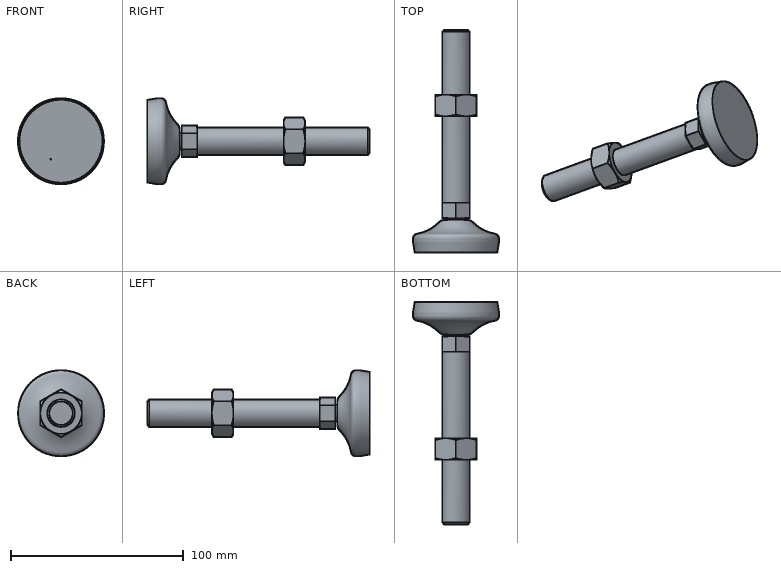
import cadquery as cq
import math


TOTAL_LENGTH = 129.0
PAD_TAPER_TOP = 6.0
PAD_RIM_TOP = 8.0
PAD_HEIGHT = 19.0
HEX_START = 20.0
HEX_LENGTH = 9.0
NUT_START = 79.0
NUT_HEIGHT = 12.5

PAD_RADIUS = 25.0
SOLE_RADIUS = 24.0
RIM_FILLET = 3.0
PAD_TOP_RADIUS = 6.4
SHOULDER_FILLET = 5.0
SHOULDER_ANGLE = 45.0

STUD_DIAMETER = 16.0
STUD_CHAMFER = 1.2
NECK_DIAMETER = 10.0
HEX_ACROSS_FLATS = 16.0
NUT_ACROSS_FLATS = 24.0
NUT_FACE_DIAMETER = 23.98
NUT_CHAMFER_ANGLE = 30.0


def cylinder_along_y(diameter, start, length):
    """Cylinder on the Y axis that begins at Y = start."""
    return cq.Workplane("XZ", origin=(0, start, 0)).circle(diameter / 2).extrude(-length)


def hexagon_corner_radius(across_flats):
    """Distance from the centre of a regular hexagon to its corners."""
    half_side_angle = math.pi / 6
    return across_flats / 2 / math.cos(half_side_angle)


def hexagon_along_y(across_flats, start, length):
    """Hexagonal bar on the Y axis with two flats facing -X and +X."""
    corner_diameter = 2 * hexagon_corner_radius(across_flats)
    return (
        cq.Workplane("XZ", origin=(0, start, 0))
        .transformed(rotate=(0, 0, 90))
        .polygon(6, corner_diameter)
        .extrude(-length)
    )


def revolve_about_y(profile):
    """Full turn of a closed XY profile about the Y axis."""
    return profile.close().revolve(360, (0, 0, 0), (0, 1, 0))


def make_pad():
    """Pad whose hollow flank is one arc, tangent to the shoulder fillet and to the rim fillet."""
    shoulder_angle = math.radians(SHOULDER_ANGLE)
    normal_x = math.sin(shoulder_angle)
    normal_y = math.cos(shoulder_angle)
    shoulder_x = PAD_TOP_RADIUS + SHOULDER_FILLET * normal_x
    shoulder_y = PAD_HEIGHT - SHOULDER_FILLET * (1 - normal_y)

    fillet_x = PAD_RADIUS - RIM_FILLET
    fillet_y = PAD_RIM_TOP
    offset_x = shoulder_x - fillet_x
    offset_y = shoulder_y - fillet_y
    offset_along_normal = offset_x * normal_x + offset_y * normal_y
    flank_radius = (offset_x**2 + offset_y**2 - RIM_FILLET**2) / (2 * (RIM_FILLET - offset_along_normal))
    flank_x = shoulder_x + flank_radius * normal_x
    flank_y = shoulder_y + flank_radius * normal_y
    contact_angle = math.atan2(flank_y - fillet_y, flank_x - fillet_x)
    contact = (
        fillet_x + RIM_FILLET * math.cos(contact_angle),
        fillet_y + RIM_FILLET * math.sin(contact_angle),
    )

    profile = (
        cq.Workplane("XY")
        .lineTo(SOLE_RADIUS, 0)
        .lineTo(PAD_RADIUS, PAD_TAPER_TOP)
        .lineTo(PAD_RADIUS, PAD_RIM_TOP)
        .tangentArcPoint(contact, relative=False)
        .tangentArcPoint((shoulder_x, shoulder_y), relative=False)
        .tangentArcPoint((PAD_TOP_RADIUS, PAD_HEIGHT), relative=False)
        .lineTo(0, PAD_HEIGHT)
    )
    return revolve_about_y(profile)


def make_stud():
    """Neck, spanner hexagon and chamfered rod, end to end."""
    neck = cylinder_along_y(NECK_DIAMETER, PAD_HEIGHT, HEX_START - PAD_HEIGHT)
    hexagon = hexagon_along_y(HEX_ACROSS_FLATS, HEX_START, HEX_LENGTH)
    rod_start = HEX_START + HEX_LENGTH
    rod = cylinder_along_y(STUD_DIAMETER, rod_start, TOTAL_LENGTH - rod_start)
    rod = rod.faces(">Y").chamfer(STUD_CHAMFER)
    return neck.union(hexagon).union(rod)


def make_nut():
    """Hexagon trimmed by a cone at each end, which rounds off its corners."""
    face_radius = NUT_FACE_DIAMETER / 2
    trim_radius = hexagon_corner_radius(NUT_ACROSS_FLATS)
    trim_drop = (trim_radius - face_radius) * math.tan(math.radians(NUT_CHAMFER_ANGLE))
    nut_end = NUT_START + NUT_HEIGHT
    trim_profile = (
        cq.Workplane("XY")
        .moveTo(0, NUT_START)
        .lineTo(face_radius, NUT_START)
        .lineTo(trim_radius, NUT_START + trim_drop)
        .lineTo(trim_radius, nut_end - trim_drop)
        .lineTo(face_radius, nut_end)
        .lineTo(0, nut_end)
    )
    hexagon = hexagon_along_y(NUT_ACROSS_FLATS, NUT_START, NUT_HEIGHT)
    return hexagon.intersect(revolve_about_y(trim_profile))


result = make_pad().union(make_stud()).union(make_nut())